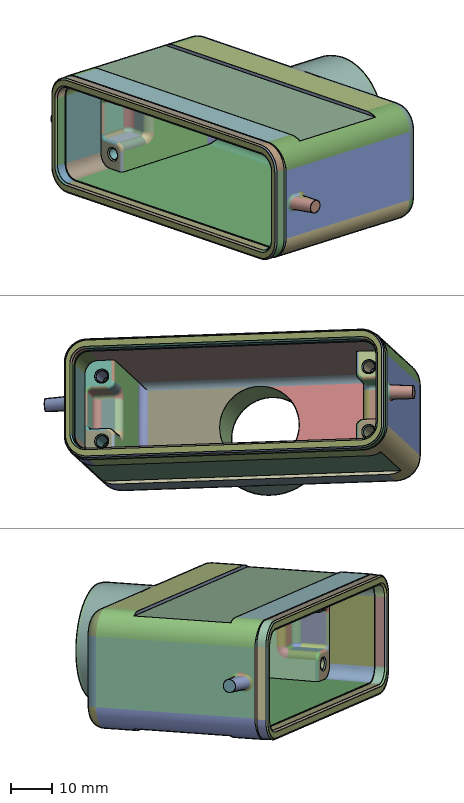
import cadquery as cq
import math

overall_length = 91.0
body_width = 79.6
body_depth = 47.8
body_height = 29.5
corner_radius = 6.0
back_edge_radius = 3.2

collar_diameter = 28.9
collar_end = 60.3
collar_bevel_length = 0.9
collar_bevel_width = 0.3
collar_blend = 1.4
bore_diameter = 19.7

lip_depth = 3.2
lip_inset_x = 0.4
lip_inset_z = 0.1
lip_chamfer = 0.4
lip_shoulder = 0.5

panel_start = 10.65
panel_end = 35.9
panel_recess = 0.8

draft_angle = 0.8
wall_x = 2.5
wall_z = 2.6
mouth_radius = 3.5
mouth_depth = 3.0
mouth_ledge = 0.2
mouth_chamfer = 0.5
floor_y = 45.0
floor_radius = 1.9
deep_width = 60.1

post_face_y = 14.65
post_inner_z = 4.8
post_edge_radius = 1.8
post_face_radius = 0.7
shelf_side_radius = 0.9
shelf_y = 23.7
shelf_outer_x = 36.6
shelf_edge_radius = 1.8
hole_x = 33.0
hole_z = 8.0
hole_diameter = 2.8
hole_depth = 9.1
hole_chamfer = 0.32

pin_radius = 1.59
pin_y = 7.5
pin_root_y = 5.55
pin_blend = 0.7

pick_margin = 0.1

cavity_width = body_width - 2 * wall_x
cavity_height = body_height - 2 * wall_z
open_side = cq.Plane(origin=(0, 0, 0), xDir=(1, 0, 0), normal=(0, 1, 0))


def box_between(x_range, y_range, z_range):
    """Axis-aligned box spanning the given coordinate ranges."""
    (x0, x1), (y0, y1), (z0, z1) = x_range, y_range, z_range
    return cq.Workplane("XY").box(x1 - x0, y1 - y0, z1 - z0, centered=False).translate((x0, y0, z0))


def rounded_block(width, height, radius, depth, taper=0.0):
    """Rounded rectangle extruded from the open side towards +Y."""
    section = cq.Sketch().rect(width, height).vertices().fillet(radius)
    return cq.Workplane(open_side).placeSketch(section).extrude(depth, taper=taper)


def make_shell():
    """Outer body with its collar and the blend between them."""
    body = rounded_block(body_width, body_height, corner_radius, body_depth)
    body = body.faces(">Y").edges().fillet(back_edge_radius)
    collar_start = body_depth / 2
    collar = (
        cq.Workplane(open_side)
        .workplane(offset=collar_start)
        .circle(collar_diameter / 2)
        .extrude(collar_end - collar_start)
        .faces(">Y")
        .edges()
        .chamfer(collar_bevel_length, collar_bevel_width)
    )
    joined = body.union(collar)
    reach = collar_diameter / 2 + pick_margin
    joint = cq.selectors.BoxSelector(
        (-reach, body_depth - back_edge_radius, -reach),
        (reach, body_depth + pick_margin, reach),
        boundingbox=True,
    )
    return joined.edges(joint).fillet(collar_blend)


def make_pin():
    """Pin on the -X end: a straight round bar with a sloping underside."""
    tip_x = -overall_length / 2
    root_x = -body_width / 2
    inside_x = root_x + wall_x / 2
    slope = (pin_y - pin_root_y) / (root_x - tip_x)
    inside_y = pin_y - slope * (inside_x - tip_x)
    length = inside_x - tip_x
    straight = cq.Workplane("YZ", origin=(tip_x, pin_y, 0)).circle(pin_radius).extrude(length)
    sloping = (
        cq.Workplane("YZ", origin=(tip_x, pin_y, 0))
        .circle(pin_radius)
        .workplane(offset=length)
        .center(inside_y - pin_y, 0)
        .circle(pin_radius)
        .loft(ruled=True)
    )
    web = (
        cq.Workplane("XY")
        .polyline([(tip_x, pin_y), (inside_x, pin_y), (inside_x, inside_y)])
        .close()
        .extrude(pin_radius, both=True)
    )
    return straight.union(web).union(sloping)


def add_pins(body):
    """Pins on both ends, blended into the end walls."""
    pin = make_pin()
    body = body.union(pin).union(pin.mirror("YZ"))
    wall = body_width / 2
    for side in (-1, 1):
        root = cq.selectors.BoxSelector(
            (side * wall - pick_margin, pick_margin, -2 * pin_radius),
            (side * wall + pick_margin, pin_y + 2 * pin_radius, 2 * pin_radius),
            boundingbox=True,
        )
        body = body.edges(root).fillet(pin_blend)
    return body


def trim_lip(body):
    """Step the rim in slightly and bevel its outer edge."""
    beyond = overall_length
    surround = box_between((-beyond, beyond), (0, lip_depth), (-beyond, beyond))
    lip_width = body_width - 2 * lip_inset_x
    lip_height = body_height - 2 * lip_inset_z
    lip_radius = corner_radius - lip_inset_x
    lip = rounded_block(lip_width, lip_height, lip_radius, lip_depth)
    lip = lip.faces("<Y").edges().chamfer(lip_chamfer)
    shoulder = rounded_block(lip_width, lip_height, lip_radius, lip_shoulder, taper=-45)
    shoulder = shoulder.translate((0, lip_depth - lip_shoulder, 0))
    return body.cut(surround.cut(lip).cut(shoulder))


def cut_panels(body):
    """Shallow flat panels across the top and bottom faces."""
    half = body_height / 2
    for z_range in ((half - panel_recess, half), (-half, panel_recess - half)):
        body = body.cut(box_between((-body_width / 2, body_width / 2), (panel_start, panel_end), z_range))
    return body


def make_end_block():
    """Solid filling the +X end of the cavity: two posts with a lower shelf between."""
    lean = math.tan(math.radians(draft_angle))
    outer_x = body_width / 2
    inner_x = deep_width / 2
    block = (
        cq.Workplane("XY")
        .polyline(
            [
                (inner_x - lean * post_face_y, post_face_y),
                (inner_x - lean * body_depth, body_depth),
                (outer_x, body_depth),
                (outer_x, post_face_y),
            ]
        )
        .close()
        .extrude(body_height / 2, both=True)
    )
    recess = box_between((0, shelf_outer_x), (0, shelf_y), (-post_inner_z, post_inner_z))
    recess = recess.edges(">X and >Y").fillet(shelf_edge_radius)
    recess = recess.faces(">Y").edges("|X").fillet(shelf_side_radius)
    block = block.cut(recess)
    margin = 0.9
    face_x = inner_x - lean * post_face_y
    post_edge = cq.selectors.BoxSelector(
        (face_x - margin, post_face_y - margin, post_inner_z - margin),
        (face_x + margin, shelf_y + margin, post_inner_z + margin),
        boundingbox=True,
    )
    block = block.edges(post_edge).edges("%LINE").fillet(post_edge_radius)
    post_rim = cq.selectors.BoxSelector(
        (face_x - margin, post_face_y - pick_margin, -cavity_height / 2),
        (shelf_outer_x - margin, post_face_y + pick_margin, cavity_height / 2),
    )
    return block.edges(post_rim).fillet(post_face_radius)


def make_cavity():
    """Hollow inside, with an end block left standing at each end."""
    cavity = rounded_block(cavity_width, cavity_height, mouth_radius, floor_y, draft_angle)
    block = make_end_block()
    cavity = cavity.cut(block).cut(block.mirror("YZ"))
    return cavity.faces(">Y").edges().fillet(floor_radius)


def cut_mouth(body):
    """Shallow ledge just inside the opening, bevelled at its front edge."""
    width = cavity_width + 2 * mouth_ledge
    height = cavity_height + 2 * mouth_ledge
    radius = mouth_radius + mouth_ledge
    ledge = rounded_block(width, height, radius, mouth_depth)
    bevel = rounded_block(
        width + 2 * mouth_chamfer, height + 2 * mouth_chamfer, radius + mouth_chamfer, mouth_chamfer, taper=45
    )
    return body.cut(ledge).cut(bevel)


def drill_holes(body):
    """Cable bore through the collar and blind countersunk holes in the posts."""
    bore = cq.Workplane(open_side).circle(bore_diameter / 2).extrude(collar_end)
    body = body.cut(bore)
    centres = [(x, z) for x in (-hole_x, hole_x) for z in (-hole_z, hole_z)]
    post_face = cq.Workplane(open_side).workplane(offset=post_face_y)
    holes = post_face.pushPoints(centres).circle(hole_diameter / 2).extrude(hole_depth)
    bevel_radius = hole_diameter / 2 + hole_chamfer
    bevels = post_face.pushPoints(centres).circle(bevel_radius).extrude(hole_chamfer, taper=45)
    return body.cut(holes).cut(bevels)


shell = cut_panels(trim_lip(add_pins(make_shell())))
hollow = cut_mouth(shell.cut(make_cavity()))
result = drill_holes(hollow)